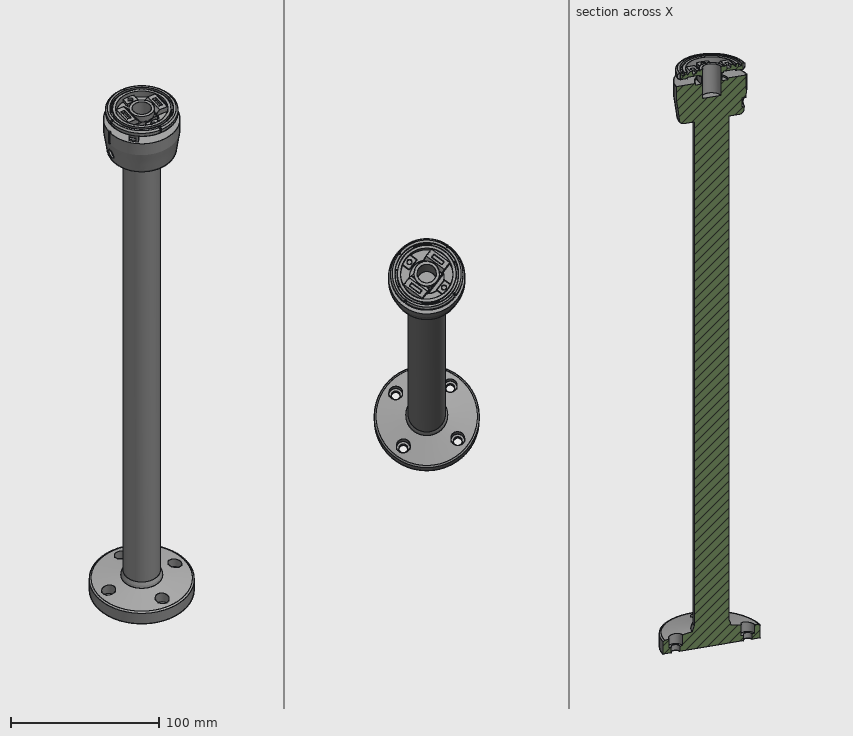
import cadquery as cq
import math

TOTAL_HEIGHT = 430.5

FLANGE_DIAMETER = 71.0
FLANGE_RADIUS = FLANGE_DIAMETER / 2
FLANGE_EDGE_HEIGHT = 9.5
FLANGE_EDGE_CHAMFER_WIDTH = 1.5
FLANGE_EDGE_CHAMFER_HEIGHT = 1.0
FLANGE_CONE_TOP = 13.5
BOLT_CIRCLE_RADIUS = 26.3
BOLT_HOLE_DIAMETER = 6.0
COUNTERBORE_DIAMETER = 9.5
COUNTERBORE_FLOOR = 4.5
COLLAR_BASE_RADIUS = 14.0
COLLAR_RADIUS = 13.8
COLLAR_SHOULDER_Z = 15.0
COLLAR_TOP = 17.5

PIPE_DIAMETER = 25.5
PIPE_RADIUS = PIPE_DIAMETER / 2

HEAD_BOTTOM = 392.3
HEAD_BOTTOM_ROUND = 3.5
HEAD_BOTTOM_RADIUS = 23.5
CAP_BOTTOM = 411.0
CAP_TOP = 421.0
CAP_RADIUS = 26.0
MARK_WIDTH = 1.5
MARK_DEPTH = 1.0
SCREW_HOLE_Z = 401.0
SCREW_HOLE_DIAMETER = 6.5
SCREW_HOLE_DEPTH = 3.5
RECESS_RADIUS = 11.5
RECESS_DEPTH = 1.5

RING_RADIUS = 24.5
RING_INNER_RADIUS = 17.5
RING_GROOVE_INNER_RADIUS = 20.0
RING_GROOVE_OUTER_RADIUS = 21.5
RING_GROOVE_DEPTH = 2.0
RING_SLOT_MARGIN = 0.2
RING_SLOT_START_ANGLE = 28.0
RING_SLOT_END_ANGLE = 62.0
RING_THICKNESS = 5.0
RING_CHAMFER = 1.5
RING_NOTCH_WIDTH = 1.5
RING_NOTCH_DEPTH = 1.7
POST_WIDTH = 15.5
POST_RIM_RADIUS = 8.5
POST_BORE_RADIUS = 6.5
POST_BORE_DEPTH = 21.5

BLOCK_WIDTH = POST_WIDTH
BLOCK_INNER_Y = 7.0
BLOCK_LIFT = 1.0
BLOCK_CHAMFER = 2.5
BLOCK_SLOT_LENGTH = 8.5
BLOCK_SLOT_WIDTH = 2.5
BLOCK_SLOT_DEPTH = 2.0
TAB_WIDTH = 8.5
TAB_INNER_RADIUS = 11.5
TAB_THICKNESS = 2.0
TAB_HOLE_DIAMETER = 3.5
TAB_HOLE_X = 14.5

CLIP_START_ANGLE = 37.0
CLIP_END_ANGLE = 53.0
CLIP_POST_ANGLE = 4.0
CLIP_INNER_RADIUS = 22.0
CLIP_OUTER_RADIUS = 24.0
CLIP_PAD_HEIGHT = 1.5
PEG_X = -12.5
PEG_Y = 16.5
PEG_DIAMETER = 1.5
PEG_LENGTH = 2.0

OVERLAP = 0.5

RING_BOTTOM = TOTAL_HEIGHT - RING_THICKNESS
QUARTER_ANGLES = [0, 90, 180, 270]


def cylinder(radius, bottom, top, x=0, y=0):
    return cq.Workplane("XY", origin=(x, y, bottom)).circle(radius).extrude(top - bottom)


def box(x_size, y_size, bottom, top, x=0, y=0):
    return cq.Workplane("XY", origin=(x, y, bottom)).rect(x_size, y_size).extrude(top - bottom)


def turn(part, angle):
    return part.rotate((0, 0, 0), (0, 0, 1), angle)


def revolve_profile(profile):
    return profile.close().revolve(360, (0, 0, 0), (0, 1, 0))


def arc_piece(inner_radius, outer_radius, start_angle, end_angle, bottom, top):
    """Curved bar between two radii, with angles measured from +X."""

    def at(radius, angle):
        return (radius * math.cos(math.radians(angle)), radius * math.sin(math.radians(angle)))

    middle = (start_angle + end_angle) / 2
    return (
        cq.Workplane("XY", origin=(0, 0, bottom))
        .moveTo(*at(inner_radius, start_angle))
        .lineTo(*at(outer_radius, start_angle))
        .threePointArc(at(outer_radius, middle), at(outer_radius, end_angle))
        .lineTo(*at(inner_radius, end_angle))
        .threePointArc(at(inner_radius, middle), at(inner_radius, start_angle))
        .close()
        .extrude(top - bottom)
    )


def make_flange():
    cone_bottom = FLANGE_EDGE_HEIGHT + FLANGE_EDGE_CHAMFER_HEIGHT
    profile = (
        cq.Workplane("XZ")
        .lineTo(FLANGE_RADIUS, 0)
        .lineTo(FLANGE_RADIUS, FLANGE_EDGE_HEIGHT)
        .lineTo(FLANGE_RADIUS - FLANGE_EDGE_CHAMFER_WIDTH, cone_bottom)
        .lineTo(COLLAR_BASE_RADIUS, FLANGE_CONE_TOP)
        .lineTo(COLLAR_RADIUS, COLLAR_SHOULDER_Z)
        .lineTo(PIPE_RADIUS, COLLAR_TOP)
        .lineTo(0, COLLAR_TOP)
    )
    flange = revolve_profile(profile)
    bolt_hole = cylinder(BOLT_HOLE_DIAMETER / 2, 0, COLLAR_TOP, x=BOLT_CIRCLE_RADIUS)
    counterbore = cylinder(COUNTERBORE_DIAMETER / 2, COUNTERBORE_FLOOR, COLLAR_TOP, x=BOLT_CIRCLE_RADIUS)
    bolt_hole = bolt_hole.union(counterbore)
    for angle in QUARTER_ANGLES:
        flange = flange.cut(turn(bolt_hole, angle))
    return flange


def make_head():
    profile = (
        cq.Workplane("XZ")
        .moveTo(0, HEAD_BOTTOM)
        .lineTo(HEAD_BOTTOM_RADIUS - HEAD_BOTTOM_ROUND, HEAD_BOTTOM)
        .radiusArc((HEAD_BOTTOM_RADIUS, HEAD_BOTTOM + HEAD_BOTTOM_ROUND), -HEAD_BOTTOM_ROUND)
        .lineTo(CAP_RADIUS, CAP_BOTTOM)
        .lineTo(CAP_RADIUS, CAP_TOP)
        .lineTo(0, CAP_TOP)
    )
    head = revolve_profile(profile)

    head = head.cut(box(MARK_WIDTH, 2 * MARK_DEPTH, CAP_BOTTOM, CAP_TOP, y=-CAP_RADIUS))
    screw_hole = (
        cq.Workplane("XZ", origin=(0, SCREW_HOLE_DEPTH - CAP_RADIUS, SCREW_HOLE_Z))
        .circle(SCREW_HOLE_DIAMETER / 2)
        .extrude(SCREW_HOLE_DEPTH)
    )
    head = head.cut(screw_hole)

    return head.cut(cylinder(RECESS_RADIUS, CAP_TOP - RECESS_DEPTH, CAP_TOP))


def make_ring():
    ring = cylinder(RING_RADIUS, RING_BOTTOM, TOTAL_HEIGHT).edges().chamfer(RING_CHAMFER)
    ring = ring.cut(cylinder(RING_INNER_RADIUS, RING_BOTTOM, TOTAL_HEIGHT))

    groove_floor = TOTAL_HEIGHT - RING_GROOVE_DEPTH
    groove = cylinder(RING_GROOVE_OUTER_RADIUS, groove_floor, TOTAL_HEIGHT)
    ring = ring.cut(groove.cut(cylinder(RING_GROOVE_INNER_RADIUS, groove_floor, TOTAL_HEIGHT)))
    slot = arc_piece(
        RING_GROOVE_INNER_RADIUS + RING_SLOT_MARGIN,
        RING_GROOVE_OUTER_RADIUS - RING_SLOT_MARGIN,
        RING_SLOT_START_ANGLE,
        RING_SLOT_END_ANGLE,
        RING_BOTTOM,
        TOTAL_HEIGHT,
    )
    notch = box(2 * RING_NOTCH_DEPTH, RING_NOTCH_WIDTH, RING_BOTTOM, TOTAL_HEIGHT, x=RING_RADIUS)
    for angle in QUARTER_ANGLES:
        ring = ring.cut(turn(slot, angle)).cut(turn(notch, angle))
    return ring


def make_block():
    """Ridged terminal block on the +Y side, reaching from the post rim into the ring."""
    outer_y = RING_INNER_RADIUS + OVERLAP
    middle_y = (BLOCK_INNER_Y + outer_y) / 2
    block = box(BLOCK_WIDTH, outer_y - BLOCK_INNER_Y, RING_BOTTOM + BLOCK_LIFT, TOTAL_HEIGHT, y=middle_y)
    block = block.faces(">Z").edges("|X").chamfer(BLOCK_CHAMFER)
    slot = box(
        BLOCK_SLOT_LENGTH, BLOCK_SLOT_WIDTH, TOTAL_HEIGHT - BLOCK_SLOT_DEPTH, TOTAL_HEIGHT, y=middle_y
    )
    return block.cut(slot)


def make_tab():
    """Flat tab with a hole on the +X side, reaching inward from the ring."""
    outer_x = RING_INNER_RADIUS + OVERLAP
    top = RING_BOTTOM + TAB_THICKNESS
    middle_x = (TAB_INNER_RADIUS + outer_x) / 2
    tab = box(outer_x - TAB_INNER_RADIUS, TAB_WIDTH, RING_BOTTOM, top, x=middle_x)
    return tab.cut(cylinder(TAB_HOLE_DIAMETER / 2, RING_BOTTOM, top, x=TAB_HOLE_X))


def make_clip():
    """C-shaped clip on the +X -Y side: a lower pad, an upper pad and a post joining them."""
    start = -CLIP_END_ANGLE
    end = -CLIP_START_ANGLE
    bottom = CAP_TOP - OVERLAP
    top = RING_BOTTOM + RING_CHAMFER + OVERLAP
    radii = (CLIP_INNER_RADIUS, CLIP_OUTER_RADIUS)
    lower_pad = arc_piece(*radii, start, end, bottom, CAP_TOP + CLIP_PAD_HEIGHT)
    upper_pad = arc_piece(*radii, start, end, RING_BOTTOM - CLIP_PAD_HEIGHT, top)
    clip_post = arc_piece(*radii, end - CLIP_POST_ANGLE, end, bottom, top)
    return lower_pad.union(upper_pad).union(clip_post)


pipe = cylinder(PIPE_RADIUS, FLANGE_CONE_TOP, HEAD_BOTTOM + OVERLAP)
post = box(POST_WIDTH, POST_WIDTH, CAP_TOP - RECESS_DEPTH - OVERLAP, RING_BOTTOM + OVERLAP)
post_rim = cylinder(POST_RIM_RADIUS, RING_BOTTOM, TOTAL_HEIGHT)
post_bore = cylinder(POST_BORE_RADIUS, TOTAL_HEIGHT - POST_BORE_DEPTH, TOTAL_HEIGHT)
peg = cylinder(PEG_DIAMETER / 2, RING_BOTTOM - PEG_LENGTH, RING_BOTTOM + OVERLAP, x=PEG_X, y=PEG_Y)
block = make_block()
tab = make_tab()
clip = make_clip()

result = make_flange().union(pipe).union(make_head())
result = result.union(post).union(post_rim).union(make_ring()).union(peg)
for angle in (0, 180):
    result = result.union(turn(block, angle)).union(turn(tab, angle))
result = result.union(clip).union(clip.mirror("YZ"))
result = result.cut(post_bore)